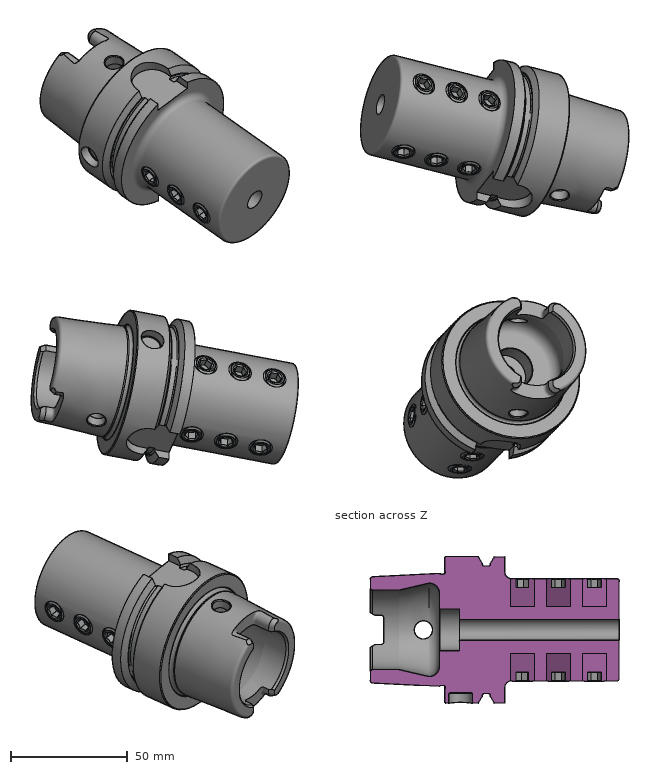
import cadquery as cq
import math


TOTAL_LENGTH = 106.9
FLANGE_FRONT = 32.0
FLANGE_BACK = 57.8

TAPER_END = 29.7
TAPER_END_RADIUS = 24.3
TAPER_SLOPE = 0.05
TAPER_MOUTH_RADIUS = TAPER_END_RADIUS - TAPER_SLOPE * TAPER_END
MOUTH_FILLET = 1.4

NECK_START = 30.5
NECK_RADIUS = 23.9
RELIEF_FILLET = 1.1
RELIEF_DEPTH = 0.3
RELIEF_RIM_RADIUS = 25.3

FLANGE_RADIUS = 63.01 / 2
FLANGE_FRONT_CHAMFER = 0.4
FLANGE_BACK_CHAMFER_LENGTH = 0.7
FLANGE_BACK_CHAMFER_DEPTH = 0.05

GROOVE_CENTER = 49.8
GROOVE_TOP_WIDTH = 6.7
GROOVE_FLOOR_WIDTH = 3.3
GROOVE_FLANK_ANGLE = 30.0
GROOVE_FLOOR_RADIUS = 27.5
GROOVE_FILLET = 0.5

BODY_RADIUS = 22.0
BODY_ROOT_FILLET = 2.8
BODY_END_FILLET = 1.2

BORE_RADIUS = 17.0
BORE_DEPTH = 29.7
BORE_FLARE_START = 12.5
BORE_FLARE_RADIUS = 20.0
BORE_FLOOR_FILLET = 4.4
BORE_MOUTH_RADIUS = 17.6
BORE_MOUTH_LENGTH = 1.1
TUBE_SEAT_RADIUS = 8.9
TUBE_SEAT_DEPTH = 8.5
TUBE_SEAT_CHAMFER = 0.2
THROUGH_HOLE_RADIUS = 4.4

SLOT_HALF_WIDTH = 6.2
SLOT_SHOULDER_HEIGHT = 20.7
SLOT_FLARE_RADIUS = 3.0
SLOT_FLOOR_FILLET = 1.2
SLOT_LEAD_LENGTH = 2.1
SLOT_LEAD_WIDTH = 1.3
TOP_SLOT_DEPTH = 10.0
BOTTOM_SLOT_DEPTH = 5.9

TAPER_HOLE_X = 22.9
TAPER_HOLE_RADIUS = 3.8
TAPER_HOLE_CHAMFER = 0.4
CHIP_HOLE_X = 38.8
CHIP_HOLE_RADIUS = 5.0
CHIP_HOLE_DEPTH = 4.5
CHIP_HOLE_FLOOR_CHAMFER = 0.3

KEYWAY_FLOOR_HEIGHT = 26.4
KEYWAY_START = 36.6
TOP_KEYWAY_HALF_WIDTH = 9.0
BOTTOM_KEYWAY_HALF_WIDTH = 8.5

SCREW_X = (65.3, 80.7, 96.1)
SCREW_SOCKET_TURN = (20.0, 0.0, 0.0)
SCREW_ROW_ANGLES = (0.0, 90.0, 180.0)
SCREW_RADIUS = 5.0
SCREW_LENGTH = 12.0
SCREW_FACE_RADIUS = 4.1
SCREW_CHAMFER_LENGTH = 0.5
SCREW_TOP = 22.1
SOCKET_ACROSS_FLATS = 5.0
SOCKET_DEPTH = 4.0
SOCKET_MOUTH_RADIUS = 3.3
SOCKET_MOUTH_DEPTH = 0.5


def arc_inset(radius):
    """Distance of a quarter arc's midpoint from either of the lines that it joins."""
    return radius * (1 - math.sqrt(0.5))


def revolve_about_x(profile):
    """Turn a closed (x, radius) profile in the XY plane about the X axis."""
    return profile.close().revolve(360, (0, 0, 0), (1, 0, 0))


def taper_shank():
    return revolve_about_x(
        cq.Workplane("XY")
        .lineTo(0, TAPER_MOUTH_RADIUS)
        .lineTo(TAPER_END, TAPER_END_RADIUS)
        .lineTo(TAPER_END, 0)
    ).faces("<X").edges().fillet(MOUTH_FILLET)


def flange_and_body():
    """Relief neck, flange and clamping body."""
    relief_floor = FLANGE_FRONT + RELIEF_DEPTH
    arc_offset = arc_inset(RELIEF_FILLET)
    root_end = FLANGE_BACK + BODY_ROOT_FILLET
    root_offset = arc_inset(BODY_ROOT_FILLET)
    end_offset = arc_inset(BODY_END_FILLET)
    return revolve_about_x(
        cq.Workplane("XY")
        .moveTo(TAPER_END, 0)
        .lineTo(TAPER_END, TAPER_END_RADIUS)
        .lineTo(NECK_START, NECK_RADIUS)
        .lineTo(relief_floor - RELIEF_FILLET, NECK_RADIUS)
        .threePointArc(
            (relief_floor - arc_offset, NECK_RADIUS + arc_offset),
            (relief_floor, NECK_RADIUS + RELIEF_FILLET),
        )
        .lineTo(FLANGE_FRONT, RELIEF_RIM_RADIUS)
        .lineTo(FLANGE_FRONT, FLANGE_RADIUS - FLANGE_FRONT_CHAMFER)
        .lineTo(FLANGE_FRONT + FLANGE_FRONT_CHAMFER, FLANGE_RADIUS)
        .lineTo(FLANGE_BACK - FLANGE_BACK_CHAMFER_LENGTH, FLANGE_RADIUS)
        .lineTo(FLANGE_BACK, FLANGE_RADIUS - FLANGE_BACK_CHAMFER_DEPTH)
        .lineTo(FLANGE_BACK, BODY_RADIUS + BODY_ROOT_FILLET)
        .threePointArc((FLANGE_BACK + root_offset, BODY_RADIUS + root_offset), (root_end, BODY_RADIUS))
        .lineTo(TOTAL_LENGTH - BODY_END_FILLET, BODY_RADIUS)
        .threePointArc(
            (TOTAL_LENGTH - end_offset, BODY_RADIUS - end_offset),
            (TOTAL_LENGTH, BODY_RADIUS - BODY_END_FILLET),
        )
        .lineTo(TOTAL_LENGTH, 0)
    )


def v_groove():
    """Ring that cuts the gripping groove, with a straight-walled filleted floor."""
    half_top = GROOVE_TOP_WIDTH / 2
    half_floor = GROOVE_FLOOR_WIDTH / 2
    flank_height = (half_top - half_floor) / math.tan(math.radians(GROOVE_FLANK_ANGLE))
    wall_top = FLANGE_RADIUS - flank_height
    arc_offset = arc_inset(GROOVE_FILLET)
    clear_radius = FLANGE_RADIUS + 1.1
    left = GROOVE_CENTER - half_floor
    right = GROOVE_CENTER + half_floor
    return revolve_about_x(
        cq.Workplane("XY")
        .moveTo(GROOVE_CENTER - half_top, clear_radius)
        .lineTo(GROOVE_CENTER - half_top, FLANGE_RADIUS)
        .lineTo(left, wall_top)
        .lineTo(left, GROOVE_FLOOR_RADIUS + GROOVE_FILLET)
        .threePointArc(
            (left + arc_offset, GROOVE_FLOOR_RADIUS + arc_offset),
            (left + GROOVE_FILLET, GROOVE_FLOOR_RADIUS),
        )
        .lineTo(right - GROOVE_FILLET, GROOVE_FLOOR_RADIUS)
        .threePointArc(
            (right - arc_offset, GROOVE_FLOOR_RADIUS + arc_offset),
            (right, GROOVE_FLOOR_RADIUS + GROOVE_FILLET),
        )
        .lineTo(right, wall_top)
        .lineTo(GROOVE_CENTER + half_top, FLANGE_RADIUS)
        .lineTo(GROOVE_CENTER + half_top, clear_radius)
    )


def axial_bores():
    """Main bore widening inward to a rounded floor, then the tube seat and the through hole."""
    seat_floor = BORE_DEPTH + TUBE_SEAT_DEPTH
    arc_offset = arc_inset(BORE_FLOOR_FILLET)
    return revolve_about_x(
        cq.Workplane("XY")
        .lineTo(0, BORE_MOUTH_RADIUS)
        .lineTo(BORE_MOUTH_LENGTH, BORE_RADIUS)
        .lineTo(BORE_FLARE_START, BORE_RADIUS)
        .lineTo(BORE_DEPTH - BORE_FLOOR_FILLET, BORE_FLARE_RADIUS)
        .threePointArc(
            (BORE_DEPTH - arc_offset, BORE_FLARE_RADIUS - arc_offset),
            (BORE_DEPTH, BORE_FLARE_RADIUS - BORE_FLOOR_FILLET),
        )
        .lineTo(BORE_DEPTH, TUBE_SEAT_RADIUS + TUBE_SEAT_CHAMFER)
        .lineTo(BORE_DEPTH + TUBE_SEAT_CHAMFER, TUBE_SEAT_RADIUS)
        .lineTo(seat_floor, TUBE_SEAT_RADIUS)
        .lineTo(seat_floor, THROUGH_HOLE_RADIUS)
        .lineTo(TOTAL_LENGTH, THROUGH_HOLE_RADIUS)
        .lineTo(TOTAL_LENGTH, 0)
    )


def slot_section(x):
    """Cross-section of the +Z drive slot at x: upright walls flaring out to flat shoulders."""
    flare_start = SLOT_SHOULDER_HEIGHT - SLOT_FLARE_RADIUS
    flare_end = SLOT_HALF_WIDTH + SLOT_FLARE_RADIUS
    flare_offset = arc_inset(SLOT_FLARE_RADIUS)
    middle_y = SLOT_HALF_WIDTH + flare_offset
    middle_z = SLOT_SHOULDER_HEIGHT - flare_offset
    inside_bore = BORE_RADIUS - 6.4
    clear_side = TAPER_END_RADIUS - 8.5
    clear_top = TAPER_END_RADIUS + 4.3
    return (
        cq.Workplane("YZ", origin=(x, 0, 0))
        .moveTo(SLOT_HALF_WIDTH, inside_bore)
        .lineTo(SLOT_HALF_WIDTH, flare_start)
        .threePointArc((middle_y, middle_z), (flare_end, SLOT_SHOULDER_HEIGHT))
        .lineTo(clear_side, SLOT_SHOULDER_HEIGHT)
        .lineTo(clear_side, clear_top)
        .lineTo(-clear_side, clear_top)
        .lineTo(-clear_side, SLOT_SHOULDER_HEIGHT)
        .lineTo(-flare_end, SLOT_SHOULDER_HEIGHT)
        .threePointArc((-middle_y, middle_z), (-SLOT_HALF_WIDTH, flare_start))
        .lineTo(-SLOT_HALF_WIDTH, inside_bore)
        .close()
    )


def drive_slot(depth):
    """Cutter for the +Z drive slot, with a rounded end and a chamfered mouth."""
    lead_angle = math.degrees(math.atan2(SLOT_LEAD_WIDTH, SLOT_LEAD_LENGTH))
    slot = slot_section(0).extrude(depth).faces(">X").edges().fillet(SLOT_FLOOR_FILLET)
    lead_in = slot_section(SLOT_LEAD_LENGTH).extrude(-SLOT_LEAD_LENGTH, taper=-lead_angle)
    return slot.union(lead_in)


def flange_keyway(half_width):
    """Round-ended keyway on the +Z side, open through the back of the flange."""
    height = FLANGE_RADIUS - KEYWAY_FLOOR_HEIGHT + 1.1
    round_center = KEYWAY_START + half_width
    return (
        cq.Workplane("XY", origin=(0, 0, KEYWAY_FLOOR_HEIGHT))
        .moveTo(round_center, -half_width)
        .lineTo(FLANGE_BACK, -half_width)
        .lineTo(FLANGE_BACK, half_width)
        .lineTo(round_center, half_width)
        .threePointArc((KEYWAY_START, 0), (round_center, -half_width))
        .close()
        .extrude(height)
    )


def turned_below(cutter):
    """The same cutter moved from the +Z side to the -Z side."""
    return cutter.rotate((0, 0, 0), (1, 0, 0), 180)


def taper_hole():
    """Hole straight through both walls of the hollow taper, along Z."""
    reach = TAPER_END_RADIUS + 1.1
    return (
        cq.Workplane("XY", origin=(TAPER_HOLE_X, 0, -reach))
        .circle(TAPER_HOLE_RADIUS)
        .extrude(2 * reach)
    )


def chip_hole():
    """Blind flat-bottomed hole in the -Y side of the flange."""
    return (
        cq.Workplane("XZ", origin=(CHIP_HOLE_X, CHIP_HOLE_DEPTH - FLANGE_RADIUS, 0))
        .circle(CHIP_HOLE_RADIUS)
        .extrude(CHIP_HOLE_DEPTH + 1.1)
        .faces(">Y")
        .chamfer(CHIP_HOLE_FLOOR_CHAMFER)
    )


def screw_blank(x):
    """Outside of a set screw on the -Y side, with its end chamfer and no socket."""
    inner_end = SCREW_TOP - SCREW_LENGTH
    return (
        cq.Workplane("XY")
        .moveTo(0, -inner_end)
        .lineTo(SCREW_RADIUS, -inner_end)
        .lineTo(SCREW_RADIUS, SCREW_CHAMFER_LENGTH - SCREW_TOP)
        .lineTo(SCREW_FACE_RADIUS, -SCREW_TOP)
        .lineTo(0, -SCREW_TOP)
        .close()
        .revolve(360, (0, 0, 0), (0, 1, 0))
        .translate((x, 0, 0))
    )


def screw_socket(x, turn):
    """Hexagon socket with a conical mouth."""
    corner_diameter = SOCKET_ACROSS_FLATS / math.cos(math.radians(30))
    hexagon = (
        cq.Workplane("XZ", origin=(0, SOCKET_DEPTH - SCREW_TOP, 0))
        .polygon(6, corner_diameter)
        .extrude(SOCKET_DEPTH)
    )
    mouth = (
        cq.Workplane("XY")
        .moveTo(0, -SCREW_TOP)
        .lineTo(SOCKET_MOUTH_RADIUS, -SCREW_TOP)
        .lineTo(SOCKET_ACROSS_FLATS / 2, SOCKET_MOUTH_DEPTH - SCREW_TOP)
        .lineTo(0, SOCKET_MOUTH_DEPTH - SCREW_TOP)
        .close()
        .revolve(360, (0, 0, 0), (0, 1, 0))
    )
    return hexagon.union(mouth).rotate((0, 0, 0), (0, 1, 0), -turn).translate((x, 0, 0))


def in_row(shape, row_angle):
    """Turn a shape from the -Y side to its screw row."""
    return shape.rotate((0, 0, 0), (1, 0, 0), row_angle)


def is_taper_hole_edge(edge):
    """True for the outer edges of the cross hole, which lie outside the bore."""
    box = edge.BoundingBox()
    as_wide_as_hole = math.isclose(box.xlen, 2 * TAPER_HOLE_RADIUS, abs_tol=0.1)
    outside_bore = min(abs(box.zmin), abs(box.zmax)) > BORE_RADIUS + 1.1
    return as_wide_as_hole and outside_bore


def make_taper():
    """Hollow taper with its drive slots, rounded mouth and chamfered cross hole."""
    hollow = cq.Workplane("YZ").circle(BORE_RADIUS).extrude(BORE_DEPTH - BORE_FLOOR_FILLET)
    taper = (
        taper_shank()
        .cut(hollow)
        .cut(drive_slot(TOP_SLOT_DEPTH))
        .cut(turned_below(drive_slot(BOTTOM_SLOT_DEPTH)))
        .cut(taper_hole())
    )
    hole_edges = [edge for edge in taper.edges().vals() if is_taper_hole_edge(edge)]
    return taper.newObject(hole_edges).chamfer(TAPER_HOLE_CHAMFER)


def make_holder():
    holder = (
        make_taper()
        .union(flange_and_body())
        .cut(v_groove())
        .cut(axial_bores())
        .cut(flange_keyway(TOP_KEYWAY_HALF_WIDTH))
        .cut(turned_below(flange_keyway(BOTTOM_KEYWAY_HALF_WIDTH)))
        .cut(chip_hole())
    )
    for row_angle in SCREW_ROW_ANGLES:
        for x in SCREW_X:
            holder = holder.cut(in_row(screw_blank(x), row_angle))
    return holder


def make_screw(x, socket_turn, row_angle):
    return in_row(screw_blank(x).cut(screw_socket(x, socket_turn)), row_angle)


holder = make_holder()
screws = [
    make_screw(x, socket_turn, row_angle)
    for row_angle in SCREW_ROW_ANGLES
    for x, socket_turn in zip(SCREW_X, SCREW_SOCKET_TURN)
]

result = cq.Compound.makeCompound([holder.val(), *[screw.val() for screw in screws]])